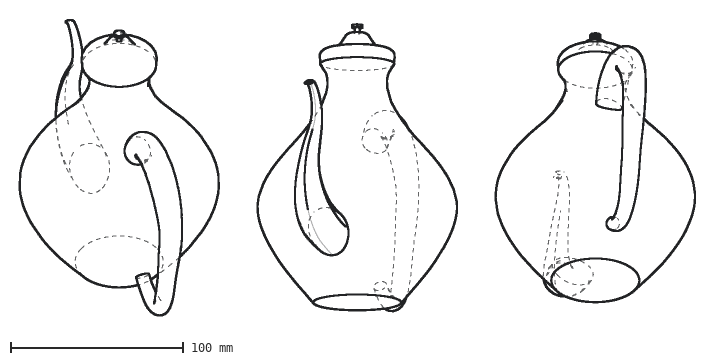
import cadquery as cq
import math

seam_height = 140.6
total_height = 163.4

foot_radius = 25.5
mouth_radius = 21.5
pot_profile = [
    (foot_radius, 0),
    (41.5, 19.5),
    (52.5, 37.3),
    (57.9, 57.0),
    (50.2, 77.2),
    (32.0, 99.3),
    (18.7, 121.3),
    (17.3, 128.1),
    (mouth_radius, seam_height),
]

dome_top = 158.5
stem_radius = 1.5
lid_profile = [
    (21.7, 143.4),
    (21.9, 145.5),
    (20.2, 148.2),
    (12.3, 150.2),
    (8.5, 154.5),
    (6.6, 157.3),
    (stem_radius, dome_top),
]
knob_radius = 3.0
knob_thickness = 1.5
knob_underside = total_height - knob_thickness

spout_stations = [
    (-35.8, 33.0, 12.1, 12.1),
    (-49.6, 34.0, 12.0, 12.1),
    (-65.6, 37.5, 10.7, 11.8),
    (-78.9, 46.3, 8.5, 9.7),
    (-83.8, 56.5, 6.8, 7.7),
    (-83.0, 68.2, 5.3, 5.9),
    (-77.2, 81.6, 4.0, 4.8),
    (-71.9, 91.0, 3.0, 3.9),
    (-69.5, 99.3, 2.4, 3.1),
    (-73.2, 110.3, 1.5, 2.5),
    (-79.5, 115.8, 1.1, 2.2),
    (-84.2, 114.9, 0.7, 2.2),
]

handle_stations = [
    (23.3, 91.9, 7.7),
    (31.8, 101.1, 7.9),
    (40.6, 110.3, 8.3),
    (53.5, 113.8, 8.0),
    (69.0, 109.2, 8.0),
    (81.6, 95.8, 7.5),
    (86.5, 80.0, 6.6),
    (84.4, 63.2, 6.2),
    (82.0, 52.2, 5.7),
    (79.4, 41.2, 5.3),
    (74.8, 24.0, 5.1),
    (69.0, 14.0, 4.6),
    (56.8, 9.4, 4.5),
    (45.8, 12.3, 4.0),
    (36.2, 18.4, 3.9),
    (30.7, 22.0, 3.9),
]


def revolve_about_axis(outline):
    """Turn a closed XZ outline around the Z axis."""
    return outline.close().revolve(360, (0, 0, 0), (0, 1, 0))


def curved_tube(stations):
    """Loft ellipses square to the curve through the XZ stations."""
    sections = []
    last = len(stations) - 1
    path = cq.Edge.makeSpline([cq.Vector(x, 0, z) for x, z, _, _ in stations])
    lengths = [0]
    for start, end in zip(stations, stations[1:]):
        lengths.append(lengths[-1] + math.hypot(end[0] - start[0], end[1] - start[1]))
    for index, (x, z, half_thickness, half_width) in enumerate(stations):
        direction = path.tangentAt(lengths[index] / lengths[last])
        across = cq.Vector(-direction.z, 0, direction.x)
        plane = cq.Plane(origin=(x, 0, z), xDir=across, normal=direction)
        ellipse = cq.Workplane(plane).ellipse(half_thickness, half_width).wire()
        sections.append(ellipse.val())
    return cq.Workplane(obj=cq.Solid.makeLoft(sections))


def make_pot():
    """Turned vessel with its spout and handle."""
    vessel = revolve_about_axis(
        cq.Workplane("XZ")
        .moveTo(*pot_profile[0])
        .spline(pot_profile[1:], includeCurrent=True)
        .lineTo(0, seam_height)
        .lineTo(0, 0)
    )
    spout = curved_tube(spout_stations)
    handle = curved_tube([(x, z, radius, radius) for x, z, radius in handle_stations])
    return vessel.union(spout).union(handle).solids()


def make_lid():
    """Turned lid resting on the mouth of the pot."""
    return revolve_about_axis(
        cq.Workplane("XZ")
        .moveTo(0, seam_height)
        .lineTo(mouth_radius, seam_height)
        .spline(lid_profile, includeCurrent=True)
        .lineTo(stem_radius, knob_underside)
        .lineTo(knob_radius, knob_underside)
        .lineTo(knob_radius, total_height)
        .lineTo(0, total_height)
    )


pot = make_pot()
lid = make_lid()

result = cq.Compound.makeCompound([pot.val(), lid.val()])